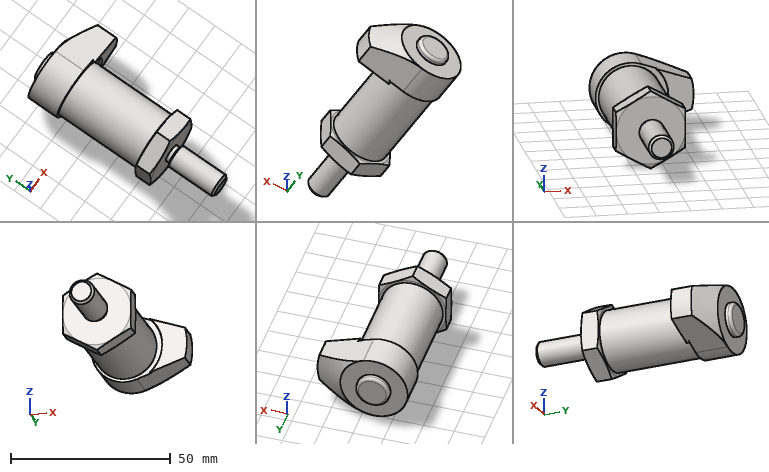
import cadquery as cq
import math


stud_diameter = 8.0
stud_length = 19.0
stud_tip_chamfer = 0.8
neck_diameter = 6.0
neck_length = 1.4
shoulder_chamfer_height = 0.5
shoulder_chamfer_width = 0.8

hex_across_flats = 22.0
hex_height = 6.0
hex_sides = 6
hex_chamfer_angle = 15.0

body_diameter = 20.0
body_length = 30.0

head_diameter = 22.0
head_height = 11.0
jaw_reach = 20.0
jaw_end_width = 10.0
jaw_step = 1.0
jaw_step_diameter = 24.0
jaw_back_drop = 5.0

cap_diameter = 11.0
cap_height = 2.0
cap_fillet = 1.0

hex_back = hex_height
head_front = hex_back + body_length
head_back = head_front + head_height
jaw_front = head_front - jaw_step


def along_y(start):
    """Sketch plane at Y = start with global X and Z axes; a negative extrusion runs to +Y."""
    return cq.Workplane("XZ", origin=(0, start, 0))


def cylinder(diameter, start, end):
    return along_y(start).circle(diameter / 2).extrude(start - end)


def revolve_about_y(profile):
    """Turn a closed (radius, y) profile about the Y axis."""
    return cq.Workplane("XY").polyline(profile).close().revolve(360, (0, 0, 0), (0, 1, 0))


def make_stud():
    """Stud with an undercut neck below the hexagon and chamfers at both ends of the shank."""
    stud_radius = stud_diameter / 2
    neck_radius = neck_diameter / 2
    return revolve_about_y([
        (0, 0),
        (neck_radius, 0),
        (neck_radius, -neck_length),
        (stud_radius - shoulder_chamfer_width, -neck_length),
        (stud_radius, -neck_length - shoulder_chamfer_height),
        (stud_radius, -stud_length + stud_tip_chamfer),
        (stud_radius - stud_tip_chamfer, -stud_length),
        (0, -stud_length),
    ])


def make_hexagon():
    """Hexagon with flats facing +X and -X and its corners turned off conically at both ends."""
    flat_radius = hex_across_flats / 2
    half_sector = 180 / hex_sides
    corner_radius = flat_radius / math.cos(math.radians(half_sector))
    chamfer_height = (corner_radius - flat_radius) * math.tan(math.radians(hex_chamfer_angle))
    prism = along_y(0).polygon(hex_sides, 2 * corner_radius).extrude(-hex_height)
    prism = prism.rotate((0, 0, 0), (0, 1, 0), half_sector)
    turned_envelope = revolve_about_y([
        (0, 0),
        (flat_radius, 0),
        (corner_radius, chamfer_height),
        (corner_radius, hex_back - chamfer_height),
        (flat_radius, hex_back),
        (0, hex_back),
    ])
    return prism.intersect(turned_envelope)


def make_head():
    """Round head whose tangent flanks taper into a jaw with a conical back."""
    head_radius = head_diameter / 2
    end_z = jaw_end_width / 2
    end_x = math.sqrt(jaw_reach**2 - end_z**2)
    tangent_angle = math.atan2(end_z, end_x) + math.acos(head_radius / jaw_reach)
    tangent_x = head_radius * math.cos(tangent_angle)
    tangent_z = head_radius * math.sin(tangent_angle)

    head = (
        along_y(jaw_front)
        .moveTo(tangent_x, tangent_z)
        .lineTo(end_x, end_z)
        .threePointArc((jaw_reach, 0), (end_x, -end_z))
        .lineTo(tangent_x, -tangent_z)
        .threePointArc((-head_radius, 0), (tangent_x, tangent_z))
        .close()
        .extrude(jaw_front - head_back)
    )
    back_cone = revolve_about_y([
        (0, jaw_front),
        (jaw_reach, jaw_front),
        (jaw_reach, head_back - jaw_back_drop),
        (head_radius, head_back),
        (0, head_back),
    ])
    step_recess = cylinder(jaw_step_diameter, jaw_front, head_front)
    return head.intersect(back_cone).cut(step_recess)


def make_cap():
    cap = cylinder(cap_diameter, head_back, head_back + cap_height)
    return cap.faces(">Y").edges().fillet(cap_fillet)


body = cylinder(body_diameter, hex_back, head_front)
result = make_hexagon().union(make_stud()).union(body).union(make_head()).union(make_cap())